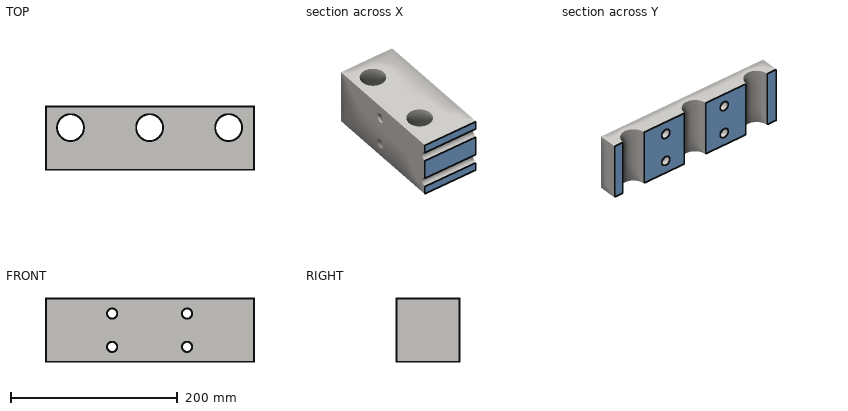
import cadquery as cq

length = 250.0
width = 76.2
height = 76.2

bore_diameter = 32.0
bore_spacing = 95.0
bore_count = 3
bore_row_x = -0.5
bore_row_y = 12.8

bolt_diameter = 12.0
bolt_spacing_x = 90.0
bolt_spacing_z = 40.0
bolt_pattern_x = -0.5

block = cq.Workplane("XY").box(length, width, height)

bores = (
    cq.Workplane("XY")
    .center(bore_row_x, bore_row_y)
    .rarray(bore_spacing, 2.5, bore_count, 1)
    .circle(bore_diameter / 2)
    .extrude(height / 2, both=True)
)

bolt_holes = (
    cq.Workplane("XZ")
    .center(bolt_pattern_x, 0)
    .rarray(bolt_spacing_x, bolt_spacing_z, 2, 2)
    .circle(bolt_diameter / 2)
    .extrude(width / 2, both=True)
)

result = block.cut(bores).cut(bolt_holes)